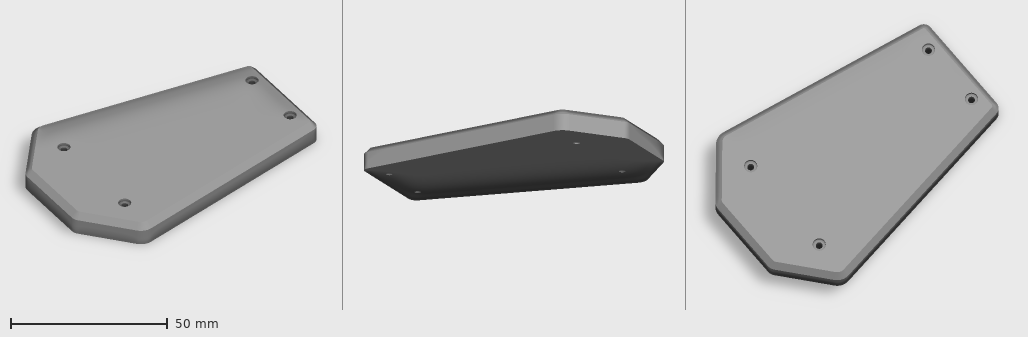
import cadquery as cq

length = 91.25
thickness = 7.5
chamfer = 2.0

front_half_width = 13.8
shoulder_half_width = 31.8
shoulder_y = 15.15
back_half_width = 18.9

front_radius = 3.5
shoulder_radius = 4.7
back_radius = 2.7

hole_diameter = 2.2
counterbore_diameter = 4.2
counterbore_depth = 1.0
front_hole_half_spacing = 17.2
front_hole_offset = 0.7
front_hole_y = 16.8
back_hole_half_spacing = 10.8
back_hole_offset = 0.2
back_hole_y = 85.5


def round_corners(body, y, radius):
    """Round the mirrored pair of upright edges at the given Y."""
    edges = body.edges("|Z").filter(lambda edge: abs(edge.Center().y - y) < radius / 2)
    return edges.fillet(radius)


right_side = [
    (front_half_width, 0),
    (shoulder_half_width, shoulder_y),
    (back_half_width, length),
]
left_side = [(-x, y) for x, y in reversed(right_side)]
plate = cq.Workplane("XY").polyline(right_side + left_side).close().extrude(thickness)

for corner_y, corner_radius in (
    (0, front_radius),
    (shoulder_y, shoulder_radius),
    (length, back_radius),
):
    plate = round_corners(plate, corner_y, corner_radius)

plate = plate.faces(">Z").chamfer(chamfer)

hole_centers = [
    (offset + side * half_spacing, y)
    for offset, half_spacing, y in (
        (front_hole_offset, front_hole_half_spacing, front_hole_y),
        (back_hole_offset, back_hole_half_spacing, back_hole_y),
    )
    for side in (-1, 1)
]
result = (
    plate.faces(">Z")
    .workplane(origin=(0, 0, thickness))
    .pushPoints(hole_centers)
    .cboreHole(hole_diameter, counterbore_diameter, counterbore_depth)
)